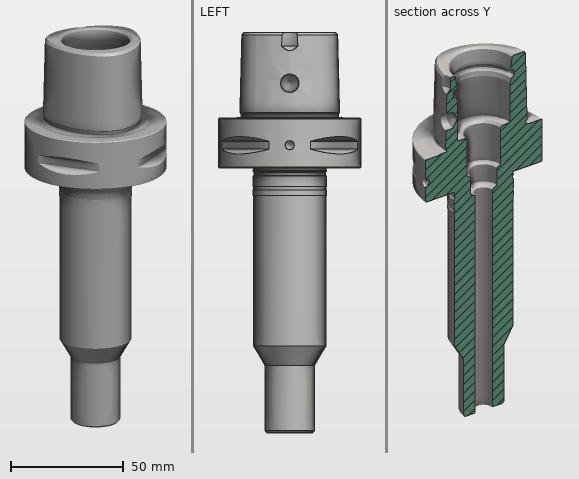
import cadquery as cq
import math


TAPER_TOP_Z = 38.0
TAPER_BASE_Z = 2.4
TAPER_BASE_RADIUS = 22.1
TAPER_SLOPE = 1 / 40
LOBE_RISE = 1.4
LOBE_COUNT = 3
LOBE_HALF_ANGLE = 28.0
STEPS_PER_SPAN = 8
TOP_CHAMFER_HEIGHT = 1.2
TOP_CHAMFER_DEPTH = 0.9
NECK_DEPTH = 0.5
NECK_TOP_Z = 1.9

FLANGE_DIA = 63.0
FLANGE_HEIGHT = 22.0
FLANGE_CHAMFER = 0.3
SEAT_BASE_RADIUS = 24.3
SEAT_TOP_RADIUS = 22.7
SEAT_HEIGHT = 0.4

GROOVE_COUNT = 4
GROOVE_START_ANGLE = 45.0
GROOVE_Z = -12.0
GROOVE_FLOOR_WIDTH = 3.5
GROOVE_CHORD = 29.5
GROOVE_SIDE_ANGLE = 30.0

SHANK_BOTTOM_Z = -139.5
SHANK_DIA = 32.0
TIP_DIA = 22.0
CONE_TOP_Z = -101.0
CONE_BOTTOM_Z = -109.5
TIP_CHAMFER = 1.0
COLLAR_DIA = 32.5
COLLAR_TOP_Z = -23.2
COLLAR_BOTTOM_Z = -34.3
COLLAR_GROOVES = ((-23.6, -25.7, 31.5, 0.4), (-30.3, -31.9, 32.0, 0.0))

MOUTH_DIA = 32.8
UPPER_BORE_DIA = 30.6
MOUTH_CHAMFER = 0.7
UPPER_BORE_END_DIA = 28.6
UPPER_BORE_END_Z = 31.5
RING_DIA = 32.5
RING_TOP_Z = 30.3
RING_BOTTOM_Z = 27.5
LEAD_IN_DIA = 29.4
LEAD_IN_Z = 26.5
LOWER_BORE_DIA = 28.0
LOWER_BORE_TOP_Z = 24.2
LOWER_BORE_BOTTOM_Z = 4.0
THREAD_MOUTH_DIA = 20.0
THREAD_BORE_DIA = 17.84
THREAD_BOTTOM_Z = -16.0
RELIEF_DIA = 14.0
RELIEF_BOTTOM_Z = -26.0
THROUGH_DIA = 9.0
DRILL_HALF_ANGLE = 59.0

TAPER_HOLE_DIA = 8.1
TAPER_HOLE_Z = 15.5
TAPER_HOLE_DEPTH = 3.6
FLANGE_HOLE_DIA = 4.0
FLANGE_HOLE_DEPTH = 1.0

NOTCH_DIA = 9.0
NOTCH_AXIS_X = -22.5
NOTCH_SHOULDER_Z = 31.9
NOTCH_HALF_ANGLE = 45.0


def cone_height(large_dia, small_dia, half_angle):
    """Axial length of a cone between two diameters."""
    return (large_dia - small_dia) / 2 / math.tan(math.radians(half_angle))


def taper_radius(z):
    """Mean radius of the polygon taper at height z."""
    return TAPER_BASE_RADIUS - (z - TAPER_BASE_Z) * TAPER_SLOPE


def polygon_point(mean_radius, angle, z):
    """Point of the lobed curve where the outward normal has the given angle in radians."""
    support = mean_radius + LOBE_RISE * math.cos(LOBE_COUNT * angle)
    slope = -LOBE_COUNT * LOBE_RISE * math.sin(LOBE_COUNT * angle)
    x = support * math.cos(angle) - slope * math.sin(angle)
    y = support * math.sin(angle) + slope * math.cos(angle)
    return cq.Vector(x, y, z)


def polygon_span(mean_radius, start, end, z):
    """Smooth edge of the lobed curve between two normal angles in degrees."""
    step = (end - start) / STEPS_PER_SPAN
    angles = [math.radians(start + i * step) for i in range(STEPS_PER_SPAN + 1)]
    points = [polygon_point(mean_radius, a, z) for a in angles]
    tangents = [cq.Vector(-math.sin(a), math.cos(a), 0) for a in (angles[0], angles[-1])]
    return cq.Edge.makeSpline(points, tangents=tangents)


def polygon_wire(mean_radius, z):
    """Closed constant-width curve, alternating lobes and flatter sides."""
    edges = []
    pitch = 360 / LOBE_COUNT
    for i in range(LOBE_COUNT):
        lobe_start = i * pitch - LOBE_HALF_ANGLE
        lobe_end = i * pitch + LOBE_HALF_ANGLE
        edges.append(polygon_span(mean_radius, lobe_start, lobe_end, z))
        edges.append(polygon_span(mean_radius, lobe_end, lobe_start + pitch, z))
    return cq.Wire.assembleEdges(edges)


def polygon_loft(radius_low, z_low, radius_high, z_high):
    wires = [polygon_wire(radius_low, z_low), polygon_wire(radius_high, z_high)]
    return cq.Workplane(cq.Solid.makeLoft(wires, True))


def revolve_profile(points):
    """Turn (radius, z) points around the Z axis."""
    return cq.Workplane("XZ").polyline(points).close().revolve(360, (0, 0, 0), (0, 1, 0))


def make_taper():
    chamfer_z = TAPER_TOP_Z - TOP_CHAMFER_HEIGHT
    chamfer_radius = taper_radius(chamfer_z)
    neck_radius = TAPER_BASE_RADIUS - NECK_DEPTH
    neck_bottom_z = -FLANGE_HEIGHT / 2
    neck = polygon_loft(neck_radius, neck_bottom_z, neck_radius, NECK_TOP_Z)
    step = polygon_loft(neck_radius, NECK_TOP_Z, TAPER_BASE_RADIUS, TAPER_BASE_Z)
    body = polygon_loft(TAPER_BASE_RADIUS, TAPER_BASE_Z, chamfer_radius, chamfer_z)
    rim = polygon_loft(chamfer_radius, chamfer_z, chamfer_radius - TOP_CHAMFER_DEPTH, TAPER_TOP_Z)
    return neck.union(step).union(body).union(rim)


def make_flange_and_shank():
    flange_r = FLANGE_DIA / 2
    shank_r = SHANK_DIA / 2
    collar_r = COLLAR_DIA / 2
    tip_r = TIP_DIA / 2
    collar_points = [(shank_r, -FLANGE_HEIGHT), (shank_r, COLLAR_TOP_Z), (collar_r, COLLAR_TOP_Z)]
    for top_z, bottom_z, floor_dia, wall_height in COLLAR_GROOVES:
        collar_points += [
            (collar_r, top_z),
            (floor_dia / 2, top_z - wall_height),
            (floor_dia / 2, bottom_z + wall_height),
            (collar_r, bottom_z),
        ]
    collar_points += [(collar_r, COLLAR_BOTTOM_Z), (shank_r, COLLAR_BOTTOM_Z)]
    return revolve_profile(
        [
            (0, SEAT_HEIGHT),
            (SEAT_TOP_RADIUS, SEAT_HEIGHT),
            (SEAT_BASE_RADIUS, 0),
            (flange_r - FLANGE_CHAMFER, 0),
            (flange_r, -FLANGE_CHAMFER),
            (flange_r, FLANGE_CHAMFER - FLANGE_HEIGHT),
            (flange_r - FLANGE_CHAMFER, -FLANGE_HEIGHT),
            *collar_points,
            (shank_r, CONE_TOP_Z),
            (tip_r, CONE_BOTTOM_Z),
            (tip_r, SHANK_BOTTOM_Z + TIP_CHAMFER),
            (tip_r - TIP_CHAMFER, SHANK_BOTTOM_Z),
            (0, SHANK_BOTTOM_Z),
        ]
    )


def make_bore():
    upper_r = UPPER_BORE_DIA / 2
    ring_r = RING_DIA / 2
    lower_r = LOWER_BORE_DIA / 2
    thread_r = THREAD_BORE_DIA / 2
    relief_r = RELIEF_DIA / 2
    through_r = THROUGH_DIA / 2
    thread_top_z = LOWER_BORE_BOTTOM_Z - (THREAD_MOUTH_DIA - THREAD_BORE_DIA) / 2
    relief_top_z = THREAD_BOTTOM_Z - cone_height(THREAD_BORE_DIA, RELIEF_DIA, DRILL_HALF_ANGLE)
    through_top_z = RELIEF_BOTTOM_Z - cone_height(RELIEF_DIA, THROUGH_DIA, DRILL_HALF_ANGLE)
    return revolve_profile(
        [
            (0, TAPER_TOP_Z),
            (MOUTH_DIA / 2, TAPER_TOP_Z),
            (upper_r, TAPER_TOP_Z - MOUTH_CHAMFER),
            (UPPER_BORE_END_DIA / 2, UPPER_BORE_END_Z),
            (UPPER_BORE_END_DIA / 2, RING_TOP_Z),
            (ring_r, RING_TOP_Z),
            (ring_r, RING_BOTTOM_Z),
            (LEAD_IN_DIA / 2, LEAD_IN_Z),
            (lower_r, LOWER_BORE_TOP_Z),
            (lower_r, LOWER_BORE_BOTTOM_Z),
            (THREAD_MOUTH_DIA / 2, LOWER_BORE_BOTTOM_Z),
            (thread_r, thread_top_z),
            (thread_r, THREAD_BOTTOM_Z),
            (relief_r, relief_top_z),
            (relief_r, RELIEF_BOTTOM_Z),
            (through_r, through_top_z),
            (through_r, SHANK_BOTTOM_Z),
            (0, SHANK_BOTTOM_Z),
        ]
    )


def make_gripper_grooves():
    flange_r = FLANGE_DIA / 2
    floor_x = math.sqrt(flange_r**2 - (GROOVE_CHORD / 2) ** 2)
    floor_half = GROOVE_FLOOR_WIDTH / 2
    mouth_half = floor_half + (flange_r - floor_x) * math.tan(math.radians(GROOVE_SIDE_ANGLE))
    groove = (
        cq.Workplane("XZ")
        .polyline(
            [
                (floor_x, GROOVE_Z - floor_half),
                (flange_r, GROOVE_Z - mouth_half),
                (flange_r, GROOVE_Z + mouth_half),
                (floor_x, GROOVE_Z + floor_half),
            ]
        )
        .close()
        .extrude(flange_r, both=True)
    )
    grooves = cq.Workplane()
    for i in range(GROOVE_COUNT):
        angle = GROOVE_START_ANGLE + i * 360 / GROOVE_COUNT
        grooves = grooves.add(groove.rotate((0, 0, 0), (0, 0, 1), angle))
    return grooves.combine()


def drill(dia, length, half_angle):
    """Drill pointing down -Z: its shoulder lies at Z = 0 and its cone point below."""
    radius = dia / 2
    point_z = -cone_height(dia, 0, half_angle)
    return revolve_profile([(0, length), (radius, length), (radius, 0), (0, point_z)])


def make_side_hole(dia, surface_x, z, depth):
    """Pointed blind hole drilled toward +X, its shoulder at depth below the surface."""
    tool = drill(dia, FLANGE_DIA / 2, DRILL_HALF_ANGLE)
    return tool.rotate((0, 0, 0), (0, 1, 0), -90).translate((surface_x + depth, 0, z))


def make_notch():
    tool = drill(NOTCH_DIA, TAPER_TOP_Z - NOTCH_SHOULDER_Z, NOTCH_HALF_ANGLE)
    return tool.translate((NOTCH_AXIS_X, 0, NOTCH_SHOULDER_Z))


taper_side_x = LOBE_RISE - taper_radius(TAPER_HOLE_Z)
taper_hole = make_side_hole(TAPER_HOLE_DIA, taper_side_x, TAPER_HOLE_Z, TAPER_HOLE_DEPTH)
flange_hole = make_side_hole(FLANGE_HOLE_DIA, -FLANGE_DIA / 2, GROOVE_Z, FLANGE_HOLE_DEPTH)

result = (
    make_flange_and_shank()
    .union(make_taper())
    .cut(make_bore())
    .cut(make_gripper_grooves())
    .cut(taper_hole)
    .cut(flange_hole)
    .cut(make_notch())
)